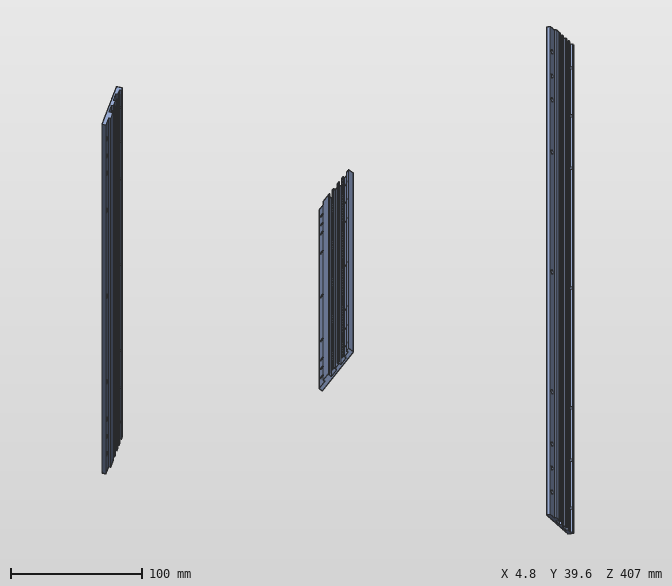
import cadquery as cq

length = 407.0
width = 39.6
thickness = 4.8
back_radius = 0.25

rebate_width = 7.4
rebate_depth = 1.6

groove_pitch = 12.0
first_groove_y = 9.1
groove_centers = [first_groove_y, first_groove_y - groove_pitch]
cavity_width = 6.8
mouth_width = 3.0
lip_thickness = 0.7
cavity_floor_thickness = 1.6

channel_offset = 5.8
channel_width = 4.2
channel_depth = rebate_depth

screw_diameter = 3.4
plus_y_edge_distance = 4.2
minus_y_edge_distance = 3.4
plus_y_row = width / 2 - plus_y_edge_distance
minus_y_row = -width / 2 + minus_y_edge_distance
screw_heights = [0.0, 100.0, 143.5, 183.5]

small_hole_diameter = 3.0
small_hole_height = 163.5


def full_length_bar(x_min, x_max, y_center, y_size):
    """Box running the whole panel length between two X positions."""
    return (
        cq.Workplane("XY")
        .box(x_max - x_min, y_size, length)
        .translate(((x_min + x_max) / 2, y_center, 0))
    )


def blank():
    """Flat panel with its two long back edges rounded."""
    panel = full_length_bar(0, thickness, 0, width)
    return panel.edges("|Z and <X").fillet(back_radius)


def rebate():
    y_center = (rebate_width - width) / 2
    return full_length_bar(thickness - rebate_depth, thickness, y_center, rebate_width)


def undercut_groove(y_center):
    cavity_top = thickness - lip_thickness
    cavity = full_length_bar(cavity_floor_thickness, cavity_top, y_center, cavity_width)
    mouth = full_length_bar(cavity_floor_thickness, thickness, y_center, mouth_width)
    return cavity.union(mouth)


def channel(y_center):
    return full_length_bar(thickness - channel_depth, thickness, y_center, channel_width)


def through_holes(points, diameter):
    """Round holes along X at the given (y, z) points."""
    return cq.Workplane("YZ").pushPoints(points).circle(diameter / 2).extrude(thickness)


def mirrored_heights(heights):
    """Each height together with its mirror image about mid-length, without repeats."""
    return sorted({sign * height for height in heights for sign in (1, -1)})


screw_points = [(y, z) for y in (plus_y_row, minus_y_row) for z in mirrored_heights(screw_heights)]
small_hole_points = [(minus_y_row, z) for z in mirrored_heights([small_hole_height])]

result = blank().cut(rebate())
for groove_y in groove_centers:
    result = result.cut(undercut_groove(groove_y))
    result = result.cut(channel(groove_y + channel_offset))
result = result.cut(through_holes(screw_points, screw_diameter))
result = result.cut(through_holes(small_hole_points, small_hole_diameter))